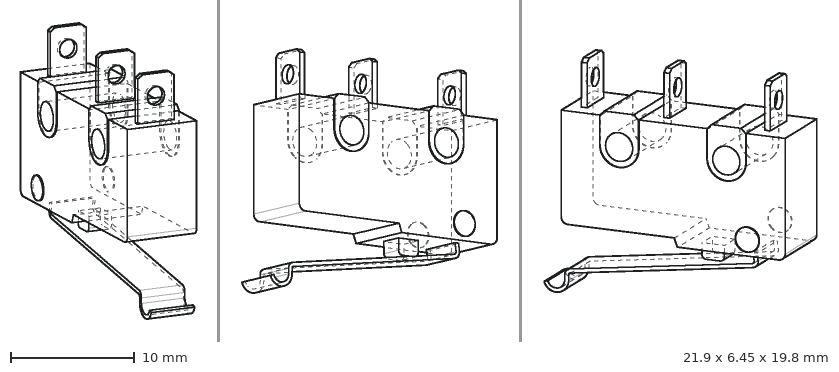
import cadquery as cq
import math


TIP_X = 21.9
TERMINAL_TOP = 14.37
OVERALL_HEIGHT = 19.8
OVERALL_DEPTH = 6.45

BODY_LENGTH = 19.87
BODY_HEIGHT = 10.3
FACE_STEP = 0.1
BODY_DEPTH = OVERALL_DEPTH - 2 * FACE_STEP
BODY_CORNER_RADIUS = 0.6
STEP_START = 9.57
STEP_END = 9.85
STEP_HEIGHT = 0.75

HOLE_SPACING = 9.5
FIRST_HOLE_X = 5.17
HOLE_XS = (FIRST_HOLE_X, FIRST_HOLE_X + HOLE_SPACING)
HOLE_Z = 7.85
HOLE_DIAMETER = 2.4
BOSS_WIDTH = 3.45
BOSS_TOP = 10.71
BOSS_CHAMFER = BOSS_TOP - BODY_HEIGHT

PIVOT_X = 3.33
PIVOT_Z = 1.4
PIVOT_DIAMETER = 2.1

TERMINAL_XS = (2.23, 11.17, 18.5)
TERMINAL_THICKNESS = 0.5
TERMINAL_WIDTH = 3.25
TERMINAL_CHAMFER_DROP = 0.3
TERMINAL_CHAMFER_WIDTH = 0.42
TERMINAL_HOLE_DIAMETER = 1.53
TERMINAL_HOLE_Z = 12.47

PLUNGER_START = 6.35
PLUNGER_END = 8.35
PLUNGER_BOTTOM = -1.38
PLUNGER_RADIUS = 0.4
PLUNGER_DEPTH = 2.0

LEVER_WIDTH = 3.9
LEVER_THICKNESS = 0.35
LEVER_TILT = 8.4
LEVER_STUB_X = 3.2
LEVER_DROP = 1.07
STUB_BEND_RADIUS = 0.4
NECK_BEND_RADIUS = 0.35
HOOK_RADIUS = 0.95
HOOK_END_ANGLE = -18.0

EMBED = 0.44


def extrude_across(profile, depth):
    """Extrude an XZ profile symmetrically about the mid-plane."""
    return profile.extrude(depth / 2, both=True)


def make_body():
    outline = cq.Workplane("XZ").polyline([
        (0, 0),
        (STEP_START, 0),
        (STEP_END, STEP_HEIGHT),
        (BODY_LENGTH, STEP_HEIGHT),
        (BODY_LENGTH, BODY_HEIGHT),
        (0, BODY_HEIGHT),
    ]).close()
    body = extrude_across(outline, BODY_DEPTH)
    body = body.edges("|Y and <X and <Z").fillet(BODY_CORNER_RADIUS)
    lower_right = cq.selectors.NearestToPointSelector((BODY_LENGTH, 0, STEP_HEIGHT))
    return body.edges("|Y").edges(lower_right).fillet(BODY_CORNER_RADIUS)


def make_boss(x):
    half = BOSS_WIDTH / 2
    outline = (
        cq.Workplane("XZ")
        .moveTo(x - half, HOLE_Z)
        .threePointArc((x, HOLE_Z - half), (x + half, HOLE_Z))
        .lineTo(x + half, BODY_HEIGHT)
        .lineTo(x + half - BOSS_CHAMFER, BOSS_TOP)
        .lineTo(x - half + BOSS_CHAMFER, BOSS_TOP)
        .lineTo(x - half, BODY_HEIGHT)
        .close()
    )
    return extrude_across(outline, OVERALL_DEPTH)


def make_cylinder(x, z, diameter):
    """Cylinder along Y through the full depth."""
    return extrude_across(cq.Workplane("XZ").center(x, z).circle(diameter / 2), OVERALL_DEPTH)


def make_terminal(x):
    height = TERMINAL_TOP - BODY_HEIGHT
    blade = (
        cq.Workplane("XY", origin=(x, 0, BODY_HEIGHT))
        .rect(TERMINAL_THICKNESS, TERMINAL_WIDTH)
        .extrude(height)
        .faces(">Z")
        .edges("|X")
        .chamfer(TERMINAL_CHAMFER_DROP, TERMINAL_CHAMFER_WIDTH)
    )
    hole = (
        cq.Workplane("YZ", origin=(x, 0, TERMINAL_HOLE_Z))
        .circle(TERMINAL_HOLE_DIAMETER / 2)
        .extrude(TERMINAL_THICKNESS, both=True)
    )
    return blade.cut(hole)


def make_plunger():
    height = EMBED - PLUNGER_BOTTOM
    outline = (
        cq.Workplane("XZ")
        .center((PLUNGER_START + PLUNGER_END) / 2, PLUNGER_BOTTOM + height / 2)
        .rect(PLUNGER_END - PLUNGER_START, height)
    )
    return extrude_across(outline, PLUNGER_DEPTH).edges("|Y and <Z").fillet(PLUNGER_RADIUS)


def polar(center, radius, angle):
    """Point at an angle in degrees on a circle in the XZ plane."""
    turn = math.radians(angle)
    return (center[0] + radius * math.cos(turn), center[1] + radius * math.sin(turn))


def add_arc(path, center, radius, start, end):
    """Draw a line to the start of an arc, then the arc itself."""
    path = path.lineTo(*polar(center, radius, start))
    return path.threePointArc(polar(center, radius, (start + end) / 2), polar(center, radius, end))


def make_lever():
    half = LEVER_THICKNESS / 2
    tilt = math.radians(LEVER_TILT)

    hook_outer = HOOK_RADIUS + half
    hook_center = (
        TIP_X - hook_outer * math.cos(math.radians(HOOK_END_ANGLE)),
        TERMINAL_TOP - OVERALL_HEIGHT + hook_outer,
    )

    stub_angle = 90 - LEVER_TILT
    stub_foot = polar((LEVER_STUB_X, 0), STUB_BEND_RADIUS - LEVER_DROP, stub_angle)
    stub_center = polar(stub_foot, STUB_BEND_RADIUS, -LEVER_TILT)
    neck_x = hook_center[0] - HOOK_RADIUS - NECK_BEND_RADIUS
    neck_drop = (STUB_BEND_RADIUS + NECK_BEND_RADIUS) / math.cos(tilt)
    neck_z = stub_center[1] - neck_drop - (neck_x - stub_center[0]) * math.tan(tilt)
    neck_center = (neck_x, neck_z)

    stub_top = polar((LEVER_STUB_X, 0), EMBED, stub_angle)
    stub_left = polar(stub_top, half, 180 - LEVER_TILT)
    stub_right = polar(stub_top, half, -LEVER_TILT)

    path = cq.Workplane("XZ").moveTo(*stub_right)
    path = add_arc(path, stub_center, STUB_BEND_RADIUS - half, 180 - LEVER_TILT, 270 - LEVER_TILT)
    path = add_arc(path, neck_center, NECK_BEND_RADIUS + half, stub_angle, 0)
    path = add_arc(path, hook_center, HOOK_RADIUS - half, 180, 360 + HOOK_END_ANGLE)
    path = add_arc(path, hook_center, HOOK_RADIUS + half, 360 + HOOK_END_ANGLE, 180)
    path = add_arc(path, neck_center, NECK_BEND_RADIUS - half, 0, stub_angle)
    path = add_arc(path, stub_center, STUB_BEND_RADIUS + half, 270 - LEVER_TILT, 180 - LEVER_TILT)
    path = path.lineTo(*stub_left).close()
    return extrude_across(path, LEVER_WIDTH)


result = make_body().union(make_cylinder(PIVOT_X, PIVOT_Z, PIVOT_DIAMETER))
for hole_x in HOLE_XS:
    result = result.union(make_boss(hole_x))
    result = result.cut(make_cylinder(hole_x, HOLE_Z, HOLE_DIAMETER))
for terminal_x in TERMINAL_XS:
    result = result.union(make_terminal(terminal_x))
result = result.union(make_plunger()).union(make_lever())